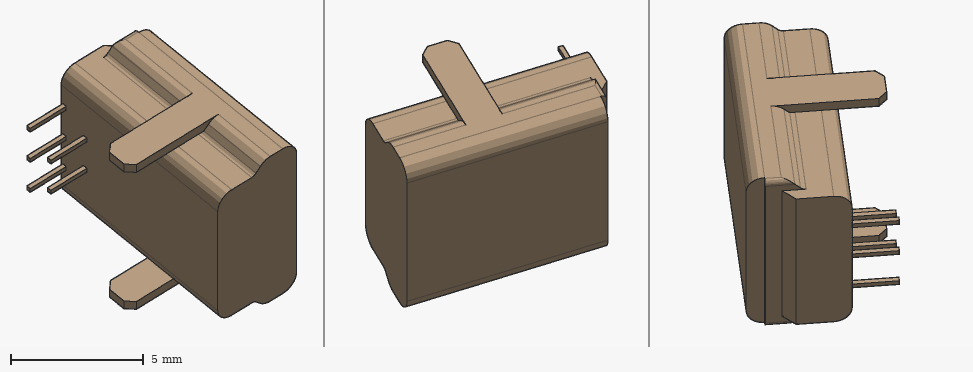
import cadquery as cq
import math


length = 9.0
total_height = 5.75
shell_width = 7.7

body_width = 6.68
body_bottom = 1.8
corner_radius = 0.7
flank_height = 0.62
valley_radius = 0.3

shell_rear = 0.49
roof_rear = 0.74
rear_edge_radius = 0.22
rear_chamfer = 0.49
body_rear_top = 3.92

leg_start = 4.52
leg_width = 1.49
leg_thickness = 0.41
leg_tip_chamfer = 0.33

pin_size = 0.2
pin_pitch = 0.8
first_row_x = 0.2
second_row_x = 1.39
first_row_steps = (-2, 0, 2)
second_row_steps = (-1, 1)

half_shell = shell_width / 2
half_body = body_width / 2
flank_top = total_height - corner_radius
flank_bottom = flank_top - flank_height
sin45 = math.sin(math.radians(45))
arc_inset = 1 - sin45
slope = half_shell - half_body - (corner_radius + valley_radius) * arc_inset
slope_top = flank_bottom - corner_radius * sin45
slope_bottom = slope_top - slope
valley_bottom = slope_bottom - valley_radius * sin45


def box(x_start, x_end, y_start, y_end, width):
    """Box between the given X and Y limits, centred on Z = 0."""
    size = (x_end - x_start, y_end - y_start, width)
    corner = (x_start, y_start, -width / 2)
    return cq.Workplane("XY").box(*size, centered=False).translate(corner)


def make_wide_shell():
    """Wide upper shell, tapering on both sides to the body width."""
    eighth_mid_sin = math.sin(math.radians(22.5))
    eighth_mid_inset = 1 - math.cos(math.radians(22.5))
    arc_y = flank_bottom - corner_radius * eighth_mid_sin
    arc_z = half_shell - corner_radius * eighth_mid_inset
    slope_top_z = half_shell - corner_radius * arc_inset
    slope_bottom_z = slope_top_z - slope
    valley_y = valley_bottom + valley_radius * eighth_mid_sin
    valley_z = half_body + valley_radius * eighth_mid_inset
    round_y = flank_top + corner_radius * sin45
    round_z = slope_top_z
    half = (
        cq.Workplane("YZ", origin=(shell_rear, 0, 0))
        .moveTo(valley_bottom, 0)
        .lineTo(valley_bottom, half_body)
        .threePointArc((valley_y, valley_z), (slope_bottom, slope_bottom_z))
        .lineTo(slope_top, slope_top_z)
        .threePointArc((arc_y, arc_z), (flank_bottom, half_shell))
        .lineTo(flank_top, half_shell)
        .threePointArc((round_y, round_z), (total_height, half_shell - corner_radius))
        .lineTo(total_height, 0)
        .close()
        .extrude(length - shell_rear)
    )
    shell = half.union(half.mirror("XY"))
    envelope = box(shell_rear, length, valley_bottom, total_height, shell_width)
    shell = shell.intersect(envelope.faces("<X").edges("|Y").fillet(rear_edge_radius))
    return shell.cut(box(0, roof_rear, flank_top, total_height, shell_width))


def make_body():
    """Narrow body with rounded lower corners and a chamfered rear top edge."""
    body = box(0, length, body_bottom, body_rear_top + rear_chamfer, body_width)
    body = body.faces("<Y").edges("|X").fillet(corner_radius)
    return body.faces("<X").edges(">Y").chamfer(rear_chamfer)


def make_leg():
    """Flat leg flush with the +Z side of the shell, chamfered at its tip."""
    leg = box(leg_start, leg_start + leg_width, 0, flank_bottom, leg_thickness)
    leg = leg.faces("<Y").edges("|Z").chamfer(leg_tip_chamfer)
    return leg.translate((0, 0, half_shell - leg_thickness / 2))


def add_pins(solid, row_x, steps):
    """Add one row of square pins, placed in steps of the pin pitch along Z."""
    pin = box(row_x - pin_size / 2, row_x + pin_size / 2, 0, body_bottom, pin_size)
    for step in steps:
        solid = solid.union(pin.translate((0, 0, step * pin_pitch)))
    return solid


leg = make_leg()
result = make_wide_shell().union(make_body())
result = result.union(leg).union(leg.mirror("XY"))
result = add_pins(result, first_row_x, first_row_steps)
result = add_pins(result, second_row_x, second_row_steps)